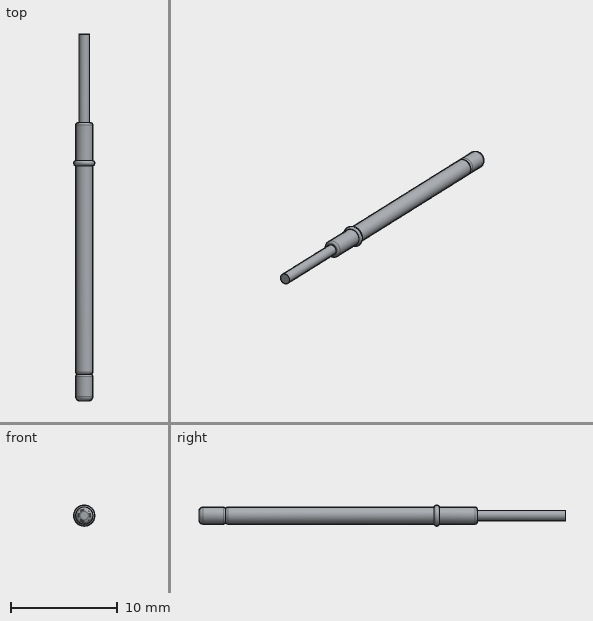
import cadquery as cq

length = 34.3
front_end = -length / 2
rear_end = length / 2

rod_diameter = 1.0
barrel_diameter = 1.6
collar_diameter = 2.0

rod_length = 8.25
nose_round = 0.4
shoulder_round = 0.2
collar_width = 0.5
collar_setback = 3.55
groove_width = 0.4
groove_lip_round = groove_width / 2
groove_offset = 2.5

rod_radius = rod_diameter / 2
barrel_radius = barrel_diameter / 2
collar_radius = collar_diameter / 2
groove_middle = front_end + groove_offset
shoulder = rear_end - rod_length


def cylinder(radius, start, end):
    """Solid cylinder around the Y axis from start to end."""
    return cq.Workplane("XZ", origin=(0, start, 0)).circle(radius).extrude(start - end)


def front_barrel():
    """Front section, with a rounded nose and a rounded lip at the groove."""
    section = cylinder(barrel_radius, front_end, groove_middle)
    section = section.faces("<Y").edges().fillet(nose_round)
    return section.faces(">Y").edges().fillet(groove_lip_round)


def main_barrel():
    """Long section from the groove to the shoulder, rounded at both ends."""
    section = cylinder(barrel_radius, groove_middle, shoulder)
    section = section.faces("<Y").edges().fillet(groove_lip_round)
    return section.faces(">Y").edges().fillet(shoulder_round)


def collar():
    """Ring around the barrel with a full-round rim."""
    rear = shoulder - collar_setback
    rim_radius = collar_width / 2
    front = rear - collar_width
    crown = rear - rim_radius
    flank_radius = collar_radius - rim_radius
    return (
        cq.Workplane("XY")
        .moveTo(0, front)
        .lineTo(flank_radius, front)
        .threePointArc((collar_radius, crown), (flank_radius, rear))
        .lineTo(0, rear)
        .close()
        .revolve(360, (0, 0, 0), (0, 1, 0))
    )


rod = cylinder(rod_radius, shoulder, rear_end)

result = front_barrel().union(main_barrel()).union(collar()).union(rod)